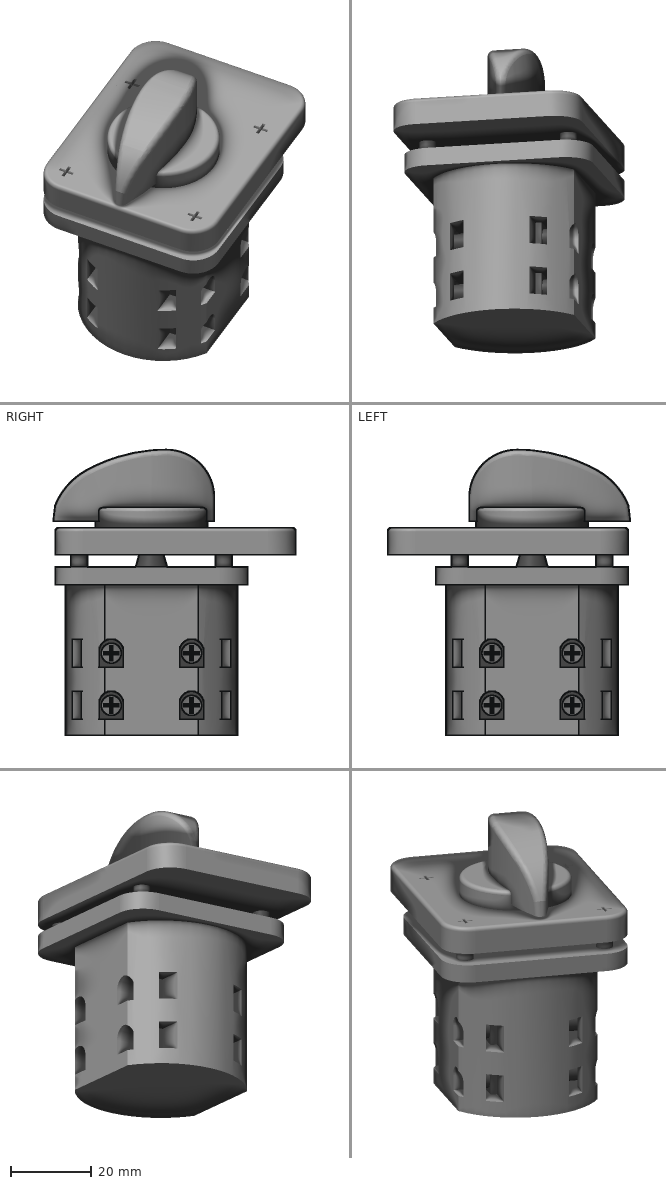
import cadquery as cq
import math

FLANGE_BOTTOM = 37.5
FLANGE_TOP = 42.0
PANEL_BOTTOM = 45.0
PANEL_TOP = 51.8
GRIP_BOTTOM = 53.35
HUB_TOP = 56.8
GRIP_TOP = 71.24

FLANGE_SIZE = 48.0
CORNER_RADIUS = 7.0
PANEL_LENGTH = 60.0
PANEL_EDGE_FILLET = 1.0
HALF_FLANGE = FLANGE_SIZE / 2

BODY_RADIUS = 21.45
BODY_HALF_WIDTH = 18.0
BOSS_BASE_RADIUS = 3.95
BOSS_TOP_RADIUS = 3.1

TERMINAL_ROWS = (4.0, 17.0)
TERMINAL_HEIGHT = 7.0
TERMINAL_Y = 10.0
POCKET_RADIUS = 3.0
POCKET_FLOOR_X = 10.0
WINDOW_INNER_X = 8.4
WINDOW_OUTER_X = 12.45
TERMINAL_HEAD_RADIUS = 2.5
TERMINAL_HEAD_LENGTH = 3.0
TERMINAL_HEAD_RISE = 3.5

CROSS_LENGTH = 3.8
CROSS_WIDTH = 0.8
CROSS_DEPTH = 0.8
CROSS_TAPER = 25.0

SCREW_OFFSET = 18.0
SCREW_HEAD_RADIUS = 3.85
SCREW_SHANK_RADIUS = 2.1

HUB_RADIUS = 14.0
HUB_FILLET = 1.1
GRIP_HALF_WIDTH = 6.2
GRIP_BACK_Y = 15.7
GRIP_TIP_Y = -24.5
GRIP_PLAN_BACK_Y = 16.6
GRIP_PLAN_TIP_Y = -26.8
GRIP_EDGE_FILLET = 1.5
CREST_Y = 3.7
CREST_RADIUS = 41.0
CREST_END_Y = -16.4
NOSE_RADIUS = 17.4
NOSE_END_Z = 57.3


def cross_recess(center, inward, along):
    """Two crossed V-shaped grooves sunk in the inward direction from a flat screw face."""
    face = cq.Workplane(cq.Plane(origin=center, xDir=along, normal=inward))
    groove = face.rect(CROSS_LENGTH, CROSS_WIDTH).extrude(CROSS_DEPTH, taper=CROSS_TAPER)
    crossing_groove = face.rect(CROSS_WIDTH, CROSS_LENGTH).extrude(CROSS_DEPTH, taper=CROSS_TAPER)
    return groove.union(crossing_groove)


def rounded_plate(length, bottom, top):
    """Plate with its front edge on the flange's front edge and rounded corners."""
    return (
        cq.Workplane("XY", origin=(0, length / 2 - HALF_FLANGE, bottom))
        .rect(FLANGE_SIZE, length)
        .extrude(top - bottom)
        .edges("|Z")
        .fillet(CORNER_RADIUS)
    )


def terminal_cavity(bottom):
    """Arched screw pocket, wire window and the passage joining them, at +X, +Y."""
    arch_center = bottom + TERMINAL_HEIGHT - POCKET_RADIUS
    pocket_depth = BODY_RADIUS - POCKET_FLOOR_X
    pocket = (
        cq.Workplane("YZ", origin=(POCKET_FLOOR_X, 0, 0))
        .moveTo(TERMINAL_Y - POCKET_RADIUS, bottom)
        .lineTo(TERMINAL_Y + POCKET_RADIUS, bottom)
        .lineTo(TERMINAL_Y + POCKET_RADIUS, arch_center)
        .threePointArc(
            (TERMINAL_Y, bottom + TERMINAL_HEIGHT), (TERMINAL_Y - POCKET_RADIUS, arch_center)
        )
        .close()
        .extrude(pocket_depth)
    )
    outer_wall_y = TERMINAL_Y + POCKET_RADIUS
    inner_wall_y = TERMINAL_Y - POCKET_RADIUS
    window = cq.Workplane("XY", origin=(WINDOW_INNER_X, outer_wall_y, bottom)).box(
        WINDOW_OUTER_X - WINDOW_INNER_X, BODY_RADIUS - outer_wall_y, TERMINAL_HEIGHT, centered=False
    )
    passage = cq.Workplane("XY", origin=(POCKET_FLOOR_X, inner_wall_y, bottom)).box(
        WINDOW_OUTER_X - POCKET_FLOOR_X, BODY_RADIUS - inner_wall_y, TERMINAL_HEIGHT, centered=False
    )
    return pocket.union(window).union(passage)


def terminal_head(bottom):
    """Screw head on the pocket floor of the terminal at +X, +Y."""
    center_z = bottom + TERMINAL_HEAD_RISE
    head = (
        cq.Workplane("YZ", origin=(POCKET_FLOOR_X, TERMINAL_Y, center_z))
        .circle(TERMINAL_HEAD_RADIUS)
        .extrude(TERMINAL_HEAD_LENGTH)
    )
    face_center = (POCKET_FLOOR_X + TERMINAL_HEAD_LENGTH, TERMINAL_Y, center_z)
    return head.cut(cross_recess(face_center, inward=(-1, 0, 0), along=(0, 1, 0)))


def in_all_quadrants(shape):
    """The shape at +X, +Y with its mirror images in the other three quadrants."""
    opposite = shape.mirror("YZ")
    return [shape, opposite, shape.mirror("XZ"), opposite.mirror("XZ")]


def make_housing():
    """Flat-sided round body with terminals, mounting flange and central boss."""
    base = cq.Workplane("XY")
    between_flats = base.rect(2 * BODY_HALF_WIDTH, 2 * BODY_RADIUS).extrude(FLANGE_BOTTOM)
    body = base.circle(BODY_RADIUS).extrude(FLANGE_BOTTOM).intersect(between_flats)
    for bottom in TERMINAL_ROWS:
        for cavity in in_all_quadrants(terminal_cavity(bottom)):
            body = body.cut(cavity)
        for head in in_all_quadrants(terminal_head(bottom)):
            body = body.union(head)
    boss = (
        cq.Workplane("XY", origin=(0, 0, FLANGE_TOP))
        .circle(BOSS_BASE_RADIUS)
        .workplane(offset=PANEL_BOTTOM - FLANGE_TOP)
        .circle(BOSS_TOP_RADIUS)
        .loft()
    )
    flange = rounded_plate(FLANGE_SIZE, FLANGE_BOTTOM, FLANGE_TOP)
    return body.union(flange).union(boss)


def grip_plan():
    """Leaf-shaped column: two arcs on each side, widest at the knob's axis."""

    def arc_middle(end_y):
        radius = (GRIP_HALF_WIDTH**2 + end_y**2) / (2 * GRIP_HALF_WIDTH)
        middle_y = end_y / 2
        return GRIP_HALF_WIDTH - radius + math.sqrt(radius**2 - middle_y**2), middle_y

    back_x, back_y = arc_middle(GRIP_PLAN_BACK_Y)
    front_x, front_y = arc_middle(GRIP_PLAN_TIP_Y)
    return (
        cq.Workplane("XY", origin=(0, 0, GRIP_BOTTOM))
        .moveTo(0, GRIP_PLAN_BACK_Y)
        .threePointArc((back_x, back_y), (GRIP_HALF_WIDTH, 0))
        .threePointArc((front_x, front_y), (0, GRIP_PLAN_TIP_Y))
        .threePointArc((-front_x, front_y), (-GRIP_HALF_WIDTH, 0))
        .threePointArc((-back_x, back_y), (0, GRIP_PLAN_BACK_Y))
        .close()
        .extrude(GRIP_TOP - GRIP_BOTTOM)
    )


def grip_side():
    """Side outline of the grip: tangent arcs over back, crest and nose, then a steep tip face."""
    back_radius = GRIP_BACK_Y - CREST_Y
    back_center_z = GRIP_TOP - back_radius
    diagonal = math.sqrt(0.5)

    crest_center_z = GRIP_TOP - CREST_RADIUS
    crest_end_angle = math.asin((CREST_Y - CREST_END_Y) / CREST_RADIUS)
    crest_end_z = crest_center_z + CREST_RADIUS * math.cos(crest_end_angle)
    crest_middle = (
        CREST_Y - CREST_RADIUS * math.sin(crest_end_angle / 2),
        crest_center_z + CREST_RADIUS * math.cos(crest_end_angle / 2),
    )

    nose_center_y = CREST_END_Y + NOSE_RADIUS * math.sin(crest_end_angle)
    nose_center_z = crest_end_z - NOSE_RADIUS * math.cos(crest_end_angle)
    nose_end_angle = math.acos((NOSE_END_Z - nose_center_z) / NOSE_RADIUS)
    nose_end_y = nose_center_y - NOSE_RADIUS * math.sin(nose_end_angle)
    nose_middle_angle = (crest_end_angle + nose_end_angle) / 2
    nose_middle = (
        nose_center_y - NOSE_RADIUS * math.sin(nose_middle_angle),
        nose_center_z + NOSE_RADIUS * math.cos(nose_middle_angle),
    )
    return (
        cq.Workplane("YZ", origin=(-GRIP_HALF_WIDTH, 0, 0))
        .moveTo(GRIP_BACK_Y, GRIP_BOTTOM)
        .lineTo(GRIP_BACK_Y, back_center_z)
        .threePointArc(
            (CREST_Y + back_radius * diagonal, back_center_z + back_radius * diagonal),
            (CREST_Y, GRIP_TOP),
        )
        .threePointArc(crest_middle, (CREST_END_Y, crest_end_z))
        .threePointArc(nose_middle, (nose_end_y, NOSE_END_Z))
        .lineTo(GRIP_TIP_Y, GRIP_BOTTOM)
        .close()
        .extrude(2 * GRIP_HALF_WIDTH)
    )


def make_grip():
    """Handle with every edge between its sides and its curved outline rounded."""
    grip = grip_plan().intersect(grip_side())
    return grip.edges("not (|X or <Z or (|Z and (>X or <X)))").fillet(GRIP_EDGE_FILLET)


def screw_blank():
    """Plain countersunk panel screw at +X, +Y, flush with the panel and seated on the flange."""
    axis = (SCREW_OFFSET, SCREW_OFFSET)
    countersink_depth = SCREW_HEAD_RADIUS - SCREW_SHANK_RADIUS
    shank = (
        cq.Workplane("XY", origin=(*axis, FLANGE_TOP))
        .circle(SCREW_SHANK_RADIUS)
        .extrude(PANEL_TOP - FLANGE_TOP)
    )
    head = (
        cq.Workplane("XY", origin=(*axis, PANEL_TOP - countersink_depth))
        .circle(SCREW_SHANK_RADIUS)
        .workplane(offset=countersink_depth)
        .circle(SCREW_HEAD_RADIUS)
        .loft()
    )
    return shank.union(head)


def make_screws():
    """The four panel screws, each with its cross recess."""
    head_center = (SCREW_OFFSET, SCREW_OFFSET, PANEL_TOP)
    recess = cross_recess(head_center, inward=(0, 0, -1), along=(1, 0, 0))
    return in_all_quadrants(screw_blank().cut(recess))


def make_switch(grip):
    """Housing, boss, front panel and hub in one piece, recessed for the grip and the screws."""
    panel = rounded_plate(PANEL_LENGTH, PANEL_BOTTOM, PANEL_TOP)
    panel = panel.faces(">Z").edges().fillet(PANEL_EDGE_FILLET)
    hub = (
        cq.Workplane("XY", origin=(0, 0, PANEL_TOP))
        .circle(HUB_RADIUS)
        .extrude(HUB_TOP - PANEL_TOP)
        .faces(">Z")
        .edges()
        .fillet(HUB_FILLET)
    )
    switch = make_housing().union(panel).union(hub).cut(grip)
    for screw_outline in in_all_quadrants(screw_blank()):
        switch = switch.cut(screw_outline)
    return switch


grip = make_grip()
screws = make_screws()
switch = make_switch(grip)

result = cq.Compound.makeCompound(
    [
        switch.solids().val(),
        grip.solids().val(),
        *[screw.solids().val() for screw in screws],
    ]
)